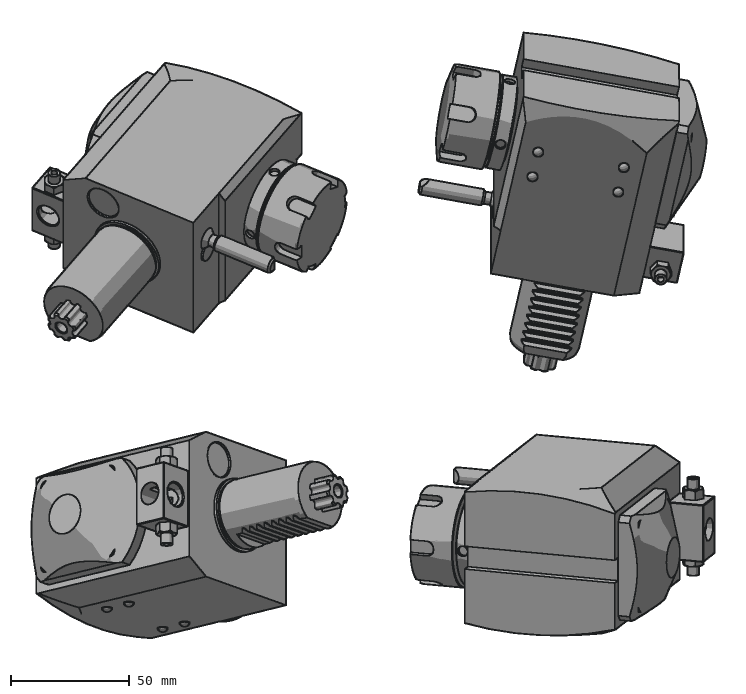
import cadquery as cq
import math


half_width = 32.0
half_height = 32.0
back_y = 84.0
left_chamfer_x = 11.0
left_chamfer_z = left_chamfer_x * math.tan(math.radians(30))
pad_height = 3.0
pad_front_y = 21.0
crown_radius = 147.0
crown_half_angle = math.radians(15)
crown_axis_x = 8.8
crown_rise = 31.1
keyway_width = 10.0
keyway_depth = 4.0
recess_x = -12.4
recess_z = 21.7
recess_radius = 7.7
recess_floor_radius = 7.4
recess_depth = 0.8

collar_radius = 15.8
collar_length = 1.3
shank_radius = 15.0
shank_end_y = -45.0
neck_radius = 14.6
neck_taper_end_y = -2.5
shank_chamfer_length = 2.0
shank_chamfer_depth = 0.5
rack_flat_z = -11.9
rack_start_y = -7.1
rack_pitch = 4.0
rack_groove_count = 8
first_groove_y = -11.7
rack_groove_depth = 1.5
rack_groove_half_width = 1.6
rack_root_half_width = 0.3

spline_length = 10.0
spline_radius = 7.1
spline_lobes = 8
flute_radius = 1.6
flute_center_radius = 6.95
spline_tip_fillet = 0.4
spline_chamfer = 0.7
spline_bore_radius = 2.6
spline_bore_depth = 8.0
spline_bore_chamfer = 0.4

spindle_y = 55.0
pad_x = half_width + pad_height
neck_step_radius = 16.5
ring_radius = 20.0
ring_start_x = 35.9
ring_end_x = 42.1
nut_radius = 21.0
nut_start_x = 43.3
nut_end_x = 63.9
nut_shoulder_start_x = 61.3
nut_shoulder_end_x = 62.3
nut_shoulder_radius = 20.7
nut_face_radius = 14.5
thread_gap_chamfer = 0.3
nut_slot_count = 6
nut_slot_width = 6.4
nut_slot_floor_radius = 17.7
nut_slot_start_x = 51.7
ring_hole_count = 4
ring_hole_radius = 2.2
ring_hole_depth = 1.5

cover_outer_x = -48.0
cover_radius = 32.0
cover_flat_radius = 8.6
cover_rim_x = -37.0
cover_half_height = 23.0
cover_back_y = 79.6
cover_slope_angle = math.radians(30)
cover_slope_start_x = -37.8
cover_screw_offset = 17.4
cover_screw_radius = 2.75
cover_screw_top_x = -39.5

block_length = 16.0
block_front_y = 0.9
block_depth = 15.0
block_height = 25.0
block_edge_chamfer = 0.3
port_x = -40.0
front_port_radius = 5.5
front_port_depth = 11.0
front_port_chamfer = 0.5
side_port_y = 8.5
side_port_radius = 4.8
side_port_depth = 13.5
feed_radius = 1.5
feed_depth = 2.0
nipple_y = 5.9
nipple_hex_flats = 8.0
nipple_hex_height = 4.2
nipple_hex_chamfer = 0.5
nipple_tip_z = 21.1
nipple_radius = 2.5
nipple_bore_radius = 1.3
nipple_bore_depth = 4.0

pipe_y = 11.0
pipe_z = 14.0
pipe_radius = 3.55
pipe_start_x = 38.0
pipe_end_x = 64.88
pipe_taper_start_x = 37.0
pipe_neck_radius = 2.65
pipe_neck_start_x = 34.3
pipe_seat_radius = 4.7
pipe_tip_chamfer = 0.9
pipe_bevel_length = 3.2
pipe_bevel_depth = 2.6
retainer_z = 7.1
retainer_radius = 4.6
retainer_height = 0.9

rivet_x_positions = (-12.9, 24.0)
rivet_y_positions = (49.0, 61.0)
rivet_radius = 2.2
rivet_height = 1.6
rivet_rim_height = 0.3

overlap = 1.0


def plane_along_y(y):
    """Sketch plane facing +Y whose local axes are (-X, Z)."""
    return cq.Plane(origin=(0, y, 0), xDir=(-1, 0, 0), normal=(0, 1, 0))


def plane_along_x(x, y=0.0, z=0.0):
    """Sketch plane facing +X whose local axes are (Y, Z)."""
    return cq.Plane(origin=(x, y, z), xDir=(0, 1, 0), normal=(1, 0, 0))


def disc_x(start_x, end_x, radius, y, z):
    return cq.Workplane(plane_along_x(start_x, y, z)).circle(radius).extrude(end_x - start_x)


def revolve_about_y(profile, x=0.0, z=0.0):
    """Revolve (radius, y) points about the line parallel to Y through (x, z)."""
    solid = cq.Workplane("XY").polyline(profile).close().revolve(360, (0, 0), (0, 1))
    return solid.translate((x, 0, z))


def revolve_about_x(profile, y, z):
    """Revolve (x, radius) points about the line parallel to X through (y, z)."""
    solid = cq.Workplane("XY").polyline(profile).close().revolve(360, (0, 0), (1, 0))
    return solid.translate((0, y, z))


def make_housing():
    left_edge_x = left_chamfer_x - half_width
    left_edge_z = half_height - left_chamfer_z
    section = [
        (-half_width, left_edge_z),
        (left_edge_x, half_height),
        (half_width, half_height),
        (half_width, -half_height),
        (left_edge_x, -half_height),
        (-half_width, -left_edge_z),
    ]
    main = cq.Workplane("XZ").polyline(section).close().extrude(-back_y)
    pad_section = [
        (0, half_height),
        (half_width, half_height),
        (pad_x, half_height - pad_height),
        (pad_x, pad_height - half_height),
        (half_width, -half_height),
        (0, -half_height),
    ]
    pad = cq.Workplane("XZ", origin=(0, pad_front_y, 0)).polyline(pad_section).close()
    housing = main.union(pad.extrude(pad_front_y - back_y))

    front_radius = crown_radius + back_y * math.tan(crown_half_angle)
    crown = [(0, 0), (front_radius, 0), (crown_radius, back_y), (0, back_y)]
    for side in (1, -1):
        axis_z = side * (crown_rise - crown_radius)
        housing = housing.intersect(revolve_about_y(crown, crown_axis_x, axis_z))

    keyway = cq.Workplane("XY").box(4 * half_width, 2 * keyway_depth, keyway_width)
    housing = housing.cut(keyway.translate((0, back_y, 0)))
    recess = revolve_about_y([
        (0, 0),
        (recess_radius, 0),
        (recess_floor_radius, recess_depth),
        (0, recess_depth),
    ], recess_x, recess_z)
    return housing.cut(recess)


def make_shank():
    shank = revolve_about_y([
        (0, overlap),
        (collar_radius, overlap),
        (collar_radius, -collar_length),
        (neck_radius, -collar_length),
        (shank_radius, neck_taper_end_y),
        (shank_radius, shank_end_y + shank_chamfer_length),
        (shank_radius - shank_chamfer_depth, shank_end_y),
        (0, shank_end_y),
    ])
    flat_length = rack_start_y - shank_end_y
    flat = cq.Workplane("XY").box(2 * shank_radius, flat_length, shank_radius, centered=(True, False, False))
    shank = shank.cut(flat.translate((0, shank_end_y, rack_flat_z - shank_radius)))
    root_z = rack_flat_z + rack_groove_depth
    for index in range(rack_groove_count):
        groove_y = first_groove_y - index * rack_pitch
        groove = cq.Workplane("YZ").polyline([
            (groove_y - rack_groove_half_width, rack_flat_z),
            (groove_y - rack_root_half_width, root_z),
            (groove_y + rack_root_half_width, root_z),
            (groove_y + rack_groove_half_width, rack_flat_z),
        ]).close()
        shank = shank.cut(groove.extrude(shank_radius, both=True))
    return shank


def make_spline():
    length = spline_length + overlap
    tip_y = shank_end_y - spline_length
    spline = cq.Workplane(plane_along_y(tip_y)).circle(spline_radius).extrude(length)
    flutes = cq.Workplane(plane_along_y(tip_y))
    flutes = flutes.polarArray(flute_center_radius, 0, 360, spline_lobes).circle(flute_radius)
    spline = spline.cut(flutes.extrude(length)).edges("|Y").fillet(spline_tip_fillet)
    envelope = revolve_about_y([
        (0, tip_y),
        (spline_radius - spline_chamfer, tip_y),
        (spline_radius, tip_y + spline_chamfer),
        (spline_radius, tip_y + length),
        (0, tip_y + length),
    ])
    bore = revolve_about_y([
        (0, tip_y),
        (spline_bore_radius + spline_bore_chamfer, tip_y),
        (spline_bore_radius, tip_y + spline_bore_chamfer),
        (spline_bore_radius, tip_y + spline_bore_depth),
        (0, tip_y + spline_bore_depth),
    ])
    return spline.intersect(envelope).cut(bore)


def make_nut_slot():
    """Round-ended slot on the -Y side of the nut, placed about the X axis."""
    end_radius = nut_slot_width / 2
    straight_start = nut_slot_start_x + end_radius
    straight = cq.Workplane("XZ", origin=(0, -nut_slot_floor_radius, 0))
    straight = straight.moveTo(straight_start, -end_radius).lineTo(nut_end_x + overlap, -end_radius)
    straight = straight.lineTo(nut_end_x + overlap, end_radius).lineTo(straight_start, end_radius)
    outline = straight.threePointArc((nut_slot_start_x, 0), (straight_start, -end_radius)).close()
    return outline.extrude(nut_radius)


def make_spindle():
    spindle = revolve_about_x([
        (half_width, 0),
        (half_width, neck_step_radius),
        (ring_start_x, neck_step_radius),
        (ring_start_x, ring_radius),
        (ring_end_x - thread_gap_chamfer, ring_radius),
        (ring_end_x, ring_radius - thread_gap_chamfer),
        (ring_end_x, neck_step_radius),
        (nut_start_x, neck_step_radius),
        (nut_start_x, nut_radius - thread_gap_chamfer),
        (nut_start_x + thread_gap_chamfer, nut_radius),
        (nut_shoulder_start_x, nut_radius),
        (nut_shoulder_end_x, nut_shoulder_radius),
        (nut_end_x, nut_face_radius),
        (nut_end_x, 0),
    ], 0, 0)
    slot = make_nut_slot()
    for index in range(nut_slot_count):
        spindle = spindle.cut(slot.rotate((0, 0, 0), (1, 0, 0), index * 360 / nut_slot_count))
    hole = cq.Workplane("XY", origin=((ring_start_x + ring_end_x) / 2, 0, ring_radius - ring_hole_depth))
    hole = hole.circle(ring_hole_radius).extrude(ring_radius)
    for index in range(ring_hole_count):
        spindle = spindle.cut(hole.rotate((0, 0, 0), (1, 0, 0), index * 360 / ring_hole_count))
    return spindle.translate((0, spindle_y, 0))


def make_cover():
    base_x = overlap - half_width
    cover = revolve_about_x([
        (base_x, 0),
        (base_x, cover_radius),
        (cover_rim_x, cover_radius),
        (cover_outer_x, cover_flat_radius),
        (cover_outer_x, 0),
    ], spindle_y, 0)

    slope_run = cover_slope_start_x - cover_outer_x
    outer_half_height = cover_half_height - slope_run * math.tan(cover_slope_angle)
    trim = cq.Workplane("XZ", origin=(0, cover_back_y, 0)).polyline([
        (base_x, -cover_half_height),
        (base_x, cover_half_height),
        (cover_slope_start_x, cover_half_height),
        (cover_outer_x, outer_half_height),
        (cover_outer_x, -outer_half_height),
        (cover_slope_start_x, -cover_half_height),
    ]).close()
    cover = cover.intersect(trim.extrude(2 * cover_radius))
    for y_side in (1, -1):
        for z_side in (1, -1):
            screw_y = spindle_y + y_side * cover_screw_offset
            screw_z = z_side * cover_screw_offset
            screw = disc_x(cover_screw_top_x, base_x, cover_screw_radius, screw_y, screw_z)
            cover = cover.union(screw)
    return cover


def make_nipple():
    """Hexagonal nipple pointing up from the top of the distributor block."""
    base_z = block_height / 2
    hex_top_z = base_z + nipple_hex_height
    across_corners = nipple_hex_flats / math.cos(math.pi / 6)
    base = cq.Workplane("XY", origin=(port_x, nipple_y, base_z - overlap))
    hexagon = base.polygon(6, across_corners).extrude(nipple_hex_height + overlap)
    round_off = base.circle(across_corners / 2).extrude(nipple_hex_height + overlap)
    hexagon = hexagon.intersect(round_off.faces(">Z").chamfer(nipple_hex_chamfer))
    stem = cq.Workplane("XY", origin=(port_x, nipple_y, hex_top_z - overlap))
    stem = stem.circle(nipple_radius).extrude(nipple_tip_z - hex_top_z + overlap)
    bore = cq.Workplane("XY", origin=(port_x, nipple_y, nipple_tip_z))
    return hexagon.union(stem).cut(bore.circle(nipple_bore_radius).extrude(-nipple_bore_depth))


def make_distributor():
    left_x = -half_width - block_length
    block = cq.Workplane("XY").box(block_length, block_depth, block_height, centered=(False, False, True))
    block = block.edges("<X or >Z or <Z").chamfer(block_edge_chamfer)
    block = block.translate((left_x, block_front_y, 0))
    front_port = revolve_about_y([
        (0, block_front_y),
        (front_port_radius, block_front_y),
        (front_port_radius - front_port_chamfer, block_front_y + front_port_chamfer),
        (front_port_radius - front_port_chamfer, block_front_y + front_port_depth),
        (0, block_front_y + front_port_depth),
    ], port_x)
    block = block.cut(front_port)
    side_floor_x = left_x + side_port_depth
    block = block.cut(disc_x(left_x, side_floor_x, side_port_radius, side_port_y, 0))
    block = block.cut(disc_x(left_x, side_floor_x + feed_depth, feed_radius, side_port_y, 0))
    nipple = make_nipple()
    return block.union(nipple).union(nipple.mirror("XY"))


def make_pipe():
    pipe = revolve_about_x([
        (half_width - overlap, 0),
        (half_width - overlap, pipe_seat_radius),
        (half_width, pipe_seat_radius),
        (pipe_neck_start_x, pipe_neck_radius),
        (pipe_taper_start_x, pipe_neck_radius),
        (pipe_start_x, pipe_radius),
        (pipe_end_x - pipe_tip_chamfer, pipe_radius),
        (pipe_end_x, pipe_radius - pipe_tip_chamfer),
        (pipe_end_x, 0),
    ], pipe_y, pipe_z)
    crest_y = pipe_y + pipe_radius
    bevel = cq.Workplane("XY", origin=(0, 0, pipe_z)).polyline([
        (pipe_end_x - pipe_bevel_length, crest_y),
        (pipe_end_x, crest_y),
        (pipe_end_x, crest_y - pipe_bevel_depth),
    ]).close()
    pipe = pipe.cut(bevel.extrude(pipe_radius, both=True))
    retainer_end_x = half_width + retainer_height
    return pipe.union(disc_x(half_width - overlap, retainer_end_x, retainer_radius, pipe_y, retainer_z))


def make_rivet():
    """Domed rivet head hanging below Z = 0."""
    profile = cq.Workplane("XZ").moveTo(0, overlap).lineTo(rivet_radius, overlap)
    profile = profile.lineTo(rivet_radius, -rivet_rim_height)
    dome_height = rivet_height - rivet_rim_height
    dome_radius = (rivet_radius ** 2 + dome_height ** 2) / (2 * dome_height)
    profile = profile.radiusArc((0, -rivet_height), dome_radius).close()
    return profile.revolve(360, (0, 0), (0, 1))


result = make_housing()
for make_component in (make_shank, make_spline, make_spindle, make_cover, make_distributor, make_pipe):
    result = result.union(make_component())
for rivet_x in rivet_x_positions:
    for rivet_y in rivet_y_positions:
        result = result.union(make_rivet().translate((rivet_x, rivet_y, -half_height)))